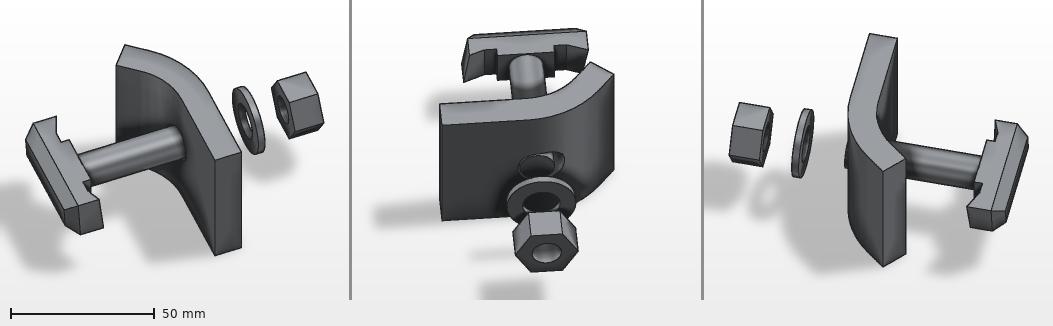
import cadquery as cq
import math


plate_thickness = 10.0
plate_height = 50.0
bend_start_x = 2.8
straight_length = 30.4
bend_outer_radius = 33.0
bend_angle = 50.0
lip_length = 9.0
plate_hole_diameter = 13.5
bore_reach = 15.0
swivel_tilt = 18.0
swivel_front_x = -0.2

shank_diameter = 12.0
shank_length = 47.0
head_depth = 13.0
head_height = 13.0
head_width = 41.4
head_skew = 2.1
bevel_depth = 4.3
bevel_inset = 3.0
boss_width = 20.0
notch_depth = 3.0
notch_floor_end = 14.3

washer_outer_diameter = 24.0
washer_inner_diameter = 13.0
washer_thickness = 2.5
washer_y = 15.0
nut_across_flats = 19.0
nut_thickness = 10.8
nut_bore_diameter = 10.2
nut_y = 29.2


def plane_facing_back(y):
    """Plane across the bolt axis at the given Y, with its normal along +Y."""
    return cq.Plane(origin=(0, y, 0), xDir=(1, 0, 0), normal=(0, 1, 0))


def make_plate_hole():
    """Cutter for the bolt hole: a straight bore joined with one leaning to -X at the back."""
    straight_bore = cq.Workplane("XZ").circle(plate_hole_diameter / 2).extrude(bore_reach, both=True)
    pivot = (swivel_front_x, -plate_thickness, 0)
    leaning_bore = (
        straight_bore
        .translate(pivot)
        .rotate(pivot, (pivot[0], pivot[1], 1), swivel_tilt)
    )
    return straight_bore.union(leaning_bore)


def make_plate():
    bend_center_y = -bend_outer_radius
    bend_inner_radius = bend_outer_radius - plate_thickness
    angle = math.radians(bend_angle)

    def bend_point(radius, turn):
        return (bend_start_x - radius * math.sin(turn), bend_center_y + radius * math.cos(turn))

    def lip_point(radius):
        x, y = bend_point(radius, angle)
        return (x - lip_length * math.cos(angle), y - lip_length * math.sin(angle))

    end_x = bend_start_x + straight_length
    plate = (
        cq.Workplane("XY")
        .moveTo(end_x, 0)
        .lineTo(bend_start_x, 0)
        .threePointArc(bend_point(bend_outer_radius, angle / 2), bend_point(bend_outer_radius, angle))
        .lineTo(*lip_point(bend_outer_radius))
        .lineTo(*lip_point(bend_inner_radius))
        .lineTo(*bend_point(bend_inner_radius, angle))
        .threePointArc(bend_point(bend_inner_radius, angle / 2), bend_point(bend_inner_radius, 0))
        .lineTo(end_x, -plate_thickness)
        .close()
        .extrude(plate_height / 2, both=True)
    )
    return plate.cut(make_plate_hole())


def make_head_blank():
    """Skewed block with its front end bevelled all round."""
    half_width = head_width / 2
    half_height = head_height / 2
    half_skew = head_skew / 2
    outline = [
        (-half_width - half_skew, half_height),
        (half_width - half_skew, half_height),
        (half_width + half_skew, -half_height),
        (-half_width + half_skew, -half_height),
    ]
    bevel_y = -(shank_length + head_depth - bevel_depth)
    bevel_taper = math.degrees(math.atan2(bevel_inset, bevel_depth))
    block = (
        cq.Workplane("XZ", origin=(0, -shank_length, 0))
        .polyline(outline)
        .close()
        .extrude(head_depth - bevel_depth)
    )
    bevel = (
        cq.Workplane("XZ", origin=(0, bevel_y, 0))
        .polyline(outline)
        .close()
        .extrude(bevel_depth, taper=bevel_taper)
    )
    return block.union(bevel)


def make_notch(side):
    """Cutter for the ramped notch beside the boss; side is -1 or +1 along X."""
    head_end = (head_width + head_skew) / 2
    return (
        cq.Workplane("XY")
        .moveTo(side * boss_width / 2, -shank_length)
        .lineTo(side * boss_width / 2, -shank_length - notch_depth)
        .lineTo(side * notch_floor_end, -shank_length - notch_depth)
        .lineTo(side * head_end, -shank_length)
        .close()
        .extrude(head_height, both=True)
    )


def make_bolt():
    head = make_head_blank()
    for side in (-1, 1):
        head = head.cut(make_notch(side))
    shank = cq.Workplane("XZ").circle(shank_diameter / 2).extrude(shank_length)
    return head.union(shank)


def make_washer():
    return (
        cq.Workplane(plane_facing_back(washer_y))
        .circle(washer_outer_diameter / 2)
        .circle(washer_inner_diameter / 2)
        .extrude(washer_thickness)
    )


def make_nut():
    across_corners = nut_across_flats / math.cos(math.pi / 6)
    return (
        cq.Workplane(plane_facing_back(nut_y))
        .polygon(6, across_corners)
        .circle(nut_bore_diameter / 2)
        .extrude(nut_thickness)
    )


plate = make_plate()
bolt = make_bolt()
washer = make_washer()
nut = make_nut()

result = cq.Compound.makeCompound([plate.val(), bolt.val(), washer.val(), nut.val()])